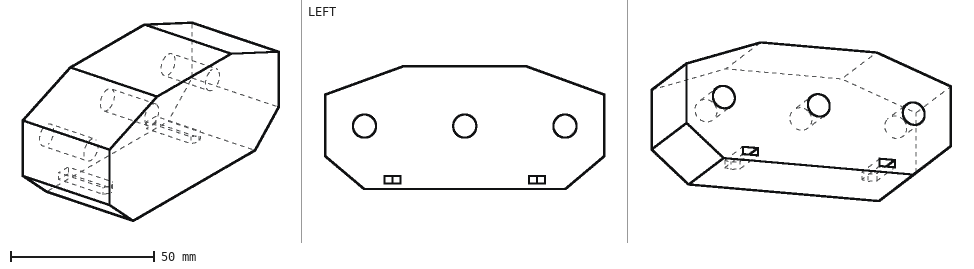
import cadquery as cq
import math

thickness = 38.1
length = 97.5
height = 43.0
top_flat = 42.7
bottom_flat = 70.2
top_slope_height = 9.9
bottom_slope_height = 11.5

hole_diameter = 8.1
hole_depth = 19.5
hole_spacing = 35.0
hole_height = 22.0

slot_width = 5.6
slot_height = 2.6
slot_floor = 2.0
slot_spacing = 50.5
slot_straight_depth = 19.5
nut_point_angle = 30
slot_point_depth = slot_width / 2 * math.tan(math.radians(nut_point_angle))

face_x = -thickness / 2


def make_block():
    half_length = length / 2
    right_half = [
        (bottom_flat / 2, 0),
        (half_length, bottom_slope_height),
        (half_length, height - top_slope_height),
        (top_flat / 2, height),
    ]
    left_half = [(-y, z) for y, z in reversed(right_half)]
    profile = cq.Workplane("YZ", origin=(face_x, 0, 0)).polyline(right_half + left_half).close()
    return profile.extrude(thickness)


def make_holes():
    centres = [(y, hole_height) for y in (-hole_spacing, 0, hole_spacing)]
    plane = cq.Workplane("YZ", origin=(face_x, 0, 0))
    return plane.pushPoints(centres).circle(hole_diameter / 2).extrude(hole_depth)


def make_nut_slot(centre_y):
    shoulder_x = face_x + slot_straight_depth
    outline = [
        (face_x, centre_y - slot_width / 2),
        (shoulder_x, centre_y - slot_width / 2),
        (shoulder_x + slot_point_depth, centre_y),
        (shoulder_x, centre_y + slot_width / 2),
        (face_x, centre_y + slot_width / 2),
    ]
    plane = cq.Workplane("XY", origin=(0, 0, slot_floor))
    return plane.polyline(outline).close().extrude(slot_height)


result = make_block().cut(make_holes())
for side in (-1, 1):
    result = result.cut(make_nut_slot(side * slot_spacing / 2))